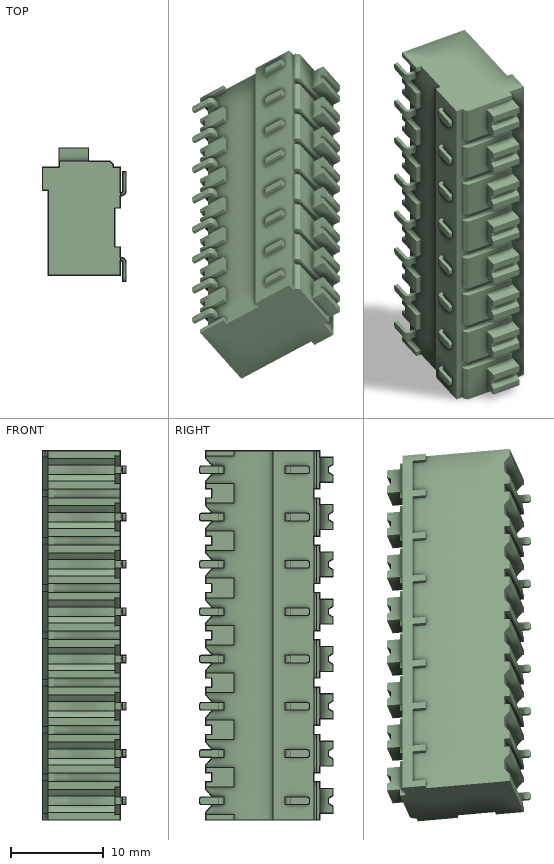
import cadquery as cq

HEIGHT = 39.75
POLE_COUNT = 8
PITCH = 5.1
END_MARGIN = (HEIGHT - (POLE_COUNT - 1) * PITCH) / 2
POLE_CENTERS = [END_MARGIN + i * PITCH for i in range(POLE_COUNT)]
POLE_GAPS = [z + PITCH / 2 for z in POLE_CENTERS[:-1]]
GAP_HEIGHT = PITCH - 2 * END_MARGIN

BODY_WIDTH = 7.8
BODY_DEPTH = 11.65
RECESS_DEPTH = 0.6
RECESS_FRONT = 3.05
RECESS_BACK = 7.25

BLOCK_LEFT = 1.25
BLOCK_RIGHT = 7.05
BLOCK_RISE = 0.65
BLOCK_CHAMFER = 0.35
TAB_LEFT = 1.15
TAB_WIDTH = 3.22
TAB_HEIGHT = 2.7
TAB_RISE = 2.05
NOTCH_MOUTH = 1.15
NOTCH_FLOOR = 0.55
NOTCH_DEPTH = 0.48

RAIL_THICKNESS = 0.6
RAIL_WIDTH = 1.07
LEG_REACH = 2.5
LEG_HEIGHT = 0.7

GROOVE_DEPTH = 0.65
V_MOUTH = 2.45
V_FLOOR = 1.05
POCKET_HEIGHT = 3.0

PIN_THICKNESS = 0.35
PIN_HEIGHT = 0.85
PIN_GAP = 0.25
PIN_BEND_RADIUS = 0.55
PIN_TIP_RADIUS = 0.28
PIN_LENGTH = 2.62
FRONT_PIN_TIP = -0.68
REAR_PIN_TIP = 11.17


def box(x_range, y_range, z_range):
    """Box spanning three (low, high) ranges."""
    lows, highs = zip(x_range, y_range, z_range)
    sizes = [high - low for low, high in zip(lows, highs)]
    return cq.Workplane("XY").box(*sizes, centered=False).translate(lows)


def span(center, size):
    """(low, high) range of the given size about a center."""
    return (center - size / 2, center + size / 2)


def side_prism(points, x_start, x_end):
    """Extrude a (Y, Z) outline along X."""
    return cq.Workplane("YZ", origin=(x_start, 0, 0)).polyline(points).close().extrude(x_end - x_start)


def trapezoid_cut(face_y, floor_y, mouth, floor, z, x_start, x_end):
    """Tapered groove along X, opening at face_y and narrowing to its floor."""
    points = [
        (face_y, z - mouth / 2),
        (floor_y, z - floor / 2),
        (floor_y, z + floor / 2),
        (face_y, z + mouth / 2),
    ]
    return side_prism(points, x_start, x_end)


def housing():
    """Rectangular body with a shallow recess along its right wall."""
    body = box((0, BODY_WIDTH), (0, BODY_DEPTH), (0, HEIGHT))
    recess = box((BODY_WIDTH - RECESS_DEPTH, BODY_WIDTH), (RECESS_FRONT, RECESS_BACK), (0, HEIGHT))
    return body.cut(recess)


def rail():
    """Raised rail on the left wall, with a leg at each end and between poles."""
    x_range = (-RAIL_THICKNESS, 0)
    strip = box(x_range, (BODY_DEPTH - RAIL_WIDTH, BODY_DEPTH), (0, HEIGHT))
    leg_centers = [LEG_HEIGHT / 2, *POLE_GAPS, HEIGHT - LEG_HEIGHT / 2]
    for z in leg_centers:
        strip = strip.union(box(x_range, (BODY_DEPTH - LEG_REACH, BODY_DEPTH), span(z, LEG_HEIGHT)))
    return strip


def back_block(z):
    """Block behind one pole, chamfered at its right edge, carrying a notched tab."""
    block = box(
        (BLOCK_LEFT, BLOCK_RIGHT),
        (BODY_DEPTH - BLOCK_RISE, BODY_DEPTH + BLOCK_RISE),
        span(z, 2 * END_MARGIN),
    )
    block = block.edges("|Z and >X and >Y").chamfer(BLOCK_CHAMFER)
    tab_right = TAB_LEFT + TAB_WIDTH
    tab_back = BODY_DEPTH + TAB_RISE
    tab = box((TAB_LEFT, tab_right), (BODY_DEPTH, tab_back), span(z, TAB_HEIGHT))
    notch = trapezoid_cut(
        tab_back, tab_back - NOTCH_DEPTH, NOTCH_MOUTH, NOTCH_FLOOR, z, TAB_LEFT, tab_right
    )
    return block.union(tab.cut(notch))


def front_cuts(z):
    """V-groove across the front of one pole and the pin pocket at its right wall."""
    groove = trapezoid_cut(0, GROOVE_DEPTH, V_MOUTH, V_FLOOR, z, 0, BODY_WIDTH)
    pocket = box(
        (BODY_WIDTH - RECESS_DEPTH, BODY_WIDTH), (0, RECESS_FRONT), span(z, POCKET_HEIGHT)
    )
    return groove.union(pocket)


def pin(z, tip_y, inward):
    """L-shaped pin running from its tip along Y (inward = 1 or -1), then into the body."""
    inner_x = BODY_WIDTH + PIN_GAP
    outer_x = inner_x + PIN_THICKNESS
    end_x = BODY_WIDTH - RECESS_DEPTH - PIN_THICKNESS
    heel_y = tip_y + inward * PIN_LENGTH
    bend_x = outer_x - PIN_BEND_RADIUS
    bend_y = heel_y - inward * PIN_BEND_RADIUS
    inner_radius = PIN_BEND_RADIUS - PIN_THICKNESS
    profile = (
        cq.Workplane("XY", origin=(0, 0, z - PIN_HEIGHT / 2))
        .moveTo(inner_x, tip_y)
        .lineTo(outer_x, tip_y)
        .lineTo(outer_x, bend_y)
        .radiusArc((bend_x, heel_y), -inward * PIN_BEND_RADIUS)
        .lineTo(end_x, heel_y)
        .lineTo(end_x, heel_y - inward * PIN_THICKNESS)
        .lineTo(bend_x, heel_y - inward * PIN_THICKNESS)
        .radiusArc((inner_x, bend_y), inward * inner_radius)
        .close()
    )
    tip_side = "<Y" if inward > 0 else ">Y"
    return profile.extrude(PIN_HEIGHT).faces(tip_side).edges("|X").fillet(PIN_TIP_RADIUS)


result = housing().union(rail())
for gap_z in POLE_GAPS:
    result = result.cut(box((0, BODY_WIDTH), (0, GROOVE_DEPTH), span(gap_z, GAP_HEIGHT)))
for pole_z in POLE_CENTERS:
    result = result.cut(front_cuts(pole_z)).union(back_block(pole_z))
    result = result.union(pin(pole_z, FRONT_PIN_TIP, 1)).union(pin(pole_z, REAR_PIN_TIP, -1))